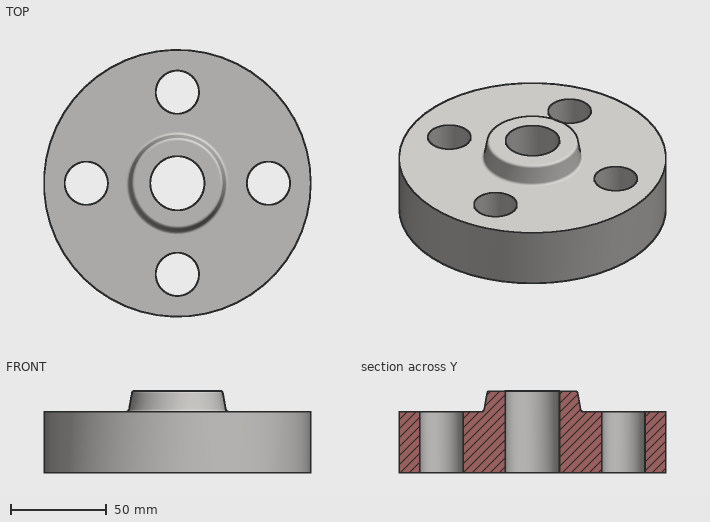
import cadquery as cq

disc_diameter = 139.7
disc_height = 32.0

total_height = 42.9
hub_base_diameter = 51.1
hub_top_diameter = 47.2
hub_top_fillet = 1.5
hub_root_fillet = 1.5

bore_diameter = 28.2
bolt_hole_diameter = 22.5
bolt_circle_diameter = 95.2
bolt_count = 4

hub_height = total_height - disc_height


def flange_disc():
    return cq.Workplane("XY").circle(disc_diameter / 2).extrude(disc_height)


def tapered_hub():
    return (
        cq.Workplane("XY")
        .workplane(offset=disc_height)
        .circle(hub_base_diameter / 2)
        .workplane(offset=hub_height)
        .circle(hub_top_diameter / 2)
        .loft(ruled=True)
    )


def hub_edge(height, diameter):
    """Select the circular hub edge at the given height by a thin box around it."""
    margin = 0.1
    reach = diameter / 2 + margin
    return cq.selectors.BoxSelector(
        (-reach, -reach, height - margin),
        (reach, reach, height + margin),
        boundingbox=True,
    )


body = flange_disc().union(tapered_hub())
body = body.edges(hub_edge(total_height, hub_top_diameter)).fillet(hub_top_fillet)
body = body.edges(hub_edge(disc_height, hub_base_diameter)).fillet(hub_root_fillet)

body = body.faces(">Z").workplane().hole(bore_diameter)
result = (
    body.faces("<Z")
    .workplane()
    .polarArray(bolt_circle_diameter / 2, 0, 360, bolt_count)
    .hole(bolt_hole_diameter)
)